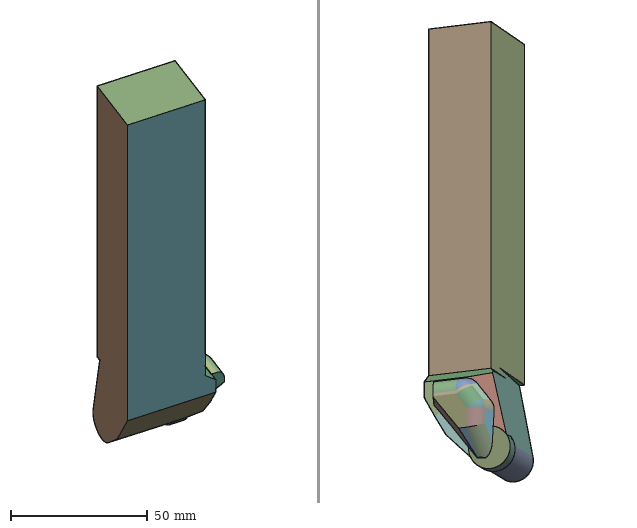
import cadquery as cq
import math

SHANK_WIDTH = 24.8
SHANK_DEPTH = 32.0
TOTAL_HEIGHT = 171.4

NOTCH_Z = 40.8
HEAD_DEPTH = 36.3
BEVEL_TOP_Z = 38.4
REAR_BEVEL_DROP = 3.6
HEAD_OVERHANG = 13.7
HEEL_TOP_Z = 28.8
HEEL_BOTTOM_X = 8.9

INSERT_DIAMETER = 16.0
INSERT_THICKNESS = 6.3
INSERT_X = 0.3
INSERT_Y = 32.7
TILT = 0.11
INSERT_Z = INSERT_DIAMETER / 2 * math.sqrt((1 + TILT**2) / (1 + 2 * TILT**2))

NOSE_RADIUS = 7.4
FLANK_ANGLE = math.radians(11.0)
LOWER_ANGLE = math.radians(45.0)
FLANK_REACH = 68.5

CLAMP_LEFT_X = -3.0
CLAMP_SHOULDER_X = 4.8
CLAMP_SHOULDER_Z = 23.6
CLAMP_RIGHT_X = 22.5
CLAMP_RIGHT_Z = 24.8
CLAMP_BACK_Z = 36.0
CLAMP_TOE_LEFT_X = -0.3
CLAMP_TOE_RIGHT_X = 5.1
CLAMP_DRAFT = 20.0
CLAMP_EDGE_RADIUS = 6.0

CLAMP_TOP_Y = 43.2
CLAMP_CREST_Z = 26.5
CLAMP_BROW_Y = 41.3
CLAMP_BROW_Z = 13.9
CLAMP_TOE_Y = 32.9
CLAMP_TOE_Z = 4.0

LEFT_EDGE_LIMIT_X = 3.5
REAR_EDGE_LIMIT_X = 15.5
PICK_MARGIN = 0.5

RAKE_PLANE = cq.Plane(
    origin=(INSERT_X, INSERT_Y, INSERT_Z),
    xDir=(1, TILT, 0),
    normal=(TILT, -1, TILT),
)


def front_prism(outline, depth):
    """Extrude an X-Z outline from Y = 0 toward +Y."""
    return cq.Workplane("XZ").polyline(outline).close().extrude(-depth)


def side_prism(outline):
    """Extrude a Y-Z outline along X, through the whole width of the head."""
    return cq.Workplane("YZ").polyline(outline).close().extrude(SHANK_WIDTH, both=True)


def make_shank():
    """Upper bar, down to the step above the flank."""
    outline = [
        (0, NOTCH_Z),
        (SHANK_WIDTH, NOTCH_Z),
        (SHANK_WIDTH, TOTAL_HEIGHT),
        (0, TOTAL_HEIGHT),
    ]
    return front_prism(outline, SHANK_DEPTH)


def make_raw_head():
    """Lower bar with a deeper block, bevelled at its left and rear top edges."""
    bar_outline = [
        (0, 0),
        (HEEL_BOTTOM_X, 0),
        (SHANK_WIDTH, HEEL_TOP_Z),
        (SHANK_WIDTH, NOTCH_Z),
        (0, NOTCH_Z),
    ]
    block_outline = [
        (-HEAD_OVERHANG, 0),
        (HEEL_BOTTOM_X, 0),
        (SHANK_WIDTH, HEEL_TOP_Z),
        (SHANK_WIDTH, BEVEL_TOP_Z),
        (0, BEVEL_TOP_Z),
        (-HEAD_OVERHANG, BEVEL_TOP_Z - HEAD_OVERHANG),
    ]
    block_side = [
        (0, 0),
        (HEAD_DEPTH, 0),
        (HEAD_DEPTH, BEVEL_TOP_Z - REAR_BEVEL_DROP),
        (SHANK_DEPTH, BEVEL_TOP_Z),
        (0, BEVEL_TOP_Z),
    ]
    bar = front_prism(bar_outline, SHANK_DEPTH)
    block = front_prism(block_outline, HEAD_DEPTH).intersect(side_prism(block_side))
    return bar.union(block)


def make_flank_envelope():
    """Tilted, round-nosed wedge under the rake plane that bounds the head."""
    left_tangent = (-NOSE_RADIUS * math.cos(FLANK_ANGLE), NOSE_RADIUS * math.sin(FLANK_ANGLE))
    right_tangent = (NOSE_RADIUS * math.sin(LOWER_ANGLE), -NOSE_RADIUS * math.cos(LOWER_ANGLE))
    left_end = (
        left_tangent[0] + FLANK_REACH * math.sin(FLANK_ANGLE),
        left_tangent[1] + FLANK_REACH * math.cos(FLANK_ANGLE),
    )
    right_end = (
        right_tangent[0] + FLANK_REACH * math.cos(LOWER_ANGLE),
        right_tangent[1] + FLANK_REACH * math.sin(LOWER_ANGLE),
    )
    return (
        cq.Workplane(RAKE_PLANE)
        .moveTo(*left_end)
        .lineTo(*left_tangent)
        .threePointArc((0, -NOSE_RADIUS), right_tangent)
        .lineTo(*right_end)
        .lineTo(right_end[0], left_end[1])
        .close()
        .extrude(FLANK_REACH)
    )


def make_clamp():
    """Drafted block with rounded left and rear edges that reaches over the insert."""
    plan = [
        (CLAMP_TOE_LEFT_X, CLAMP_TOE_Z),
        (CLAMP_TOE_RIGHT_X, CLAMP_TOE_Z),
        (CLAMP_RIGHT_X, CLAMP_RIGHT_Z),
        (CLAMP_RIGHT_X, CLAMP_BACK_Z),
        (CLAMP_SHOULDER_X, CLAMP_BACK_Z),
        (CLAMP_LEFT_X, CLAMP_SHOULDER_Z),
    ]
    profile = [
        (SHANK_DEPTH, CLAMP_BACK_Z),
        (CLAMP_TOP_Y, CLAMP_BACK_Z),
        (CLAMP_TOP_Y, CLAMP_CREST_Z),
        (CLAMP_BROW_Y, CLAMP_BROW_Z),
        (CLAMP_TOE_Y, CLAMP_TOE_Z),
        (SHANK_DEPTH, CLAMP_TOE_Z),
    ]
    block = (
        cq.Workplane("XZ", origin=(0, SHANK_DEPTH, 0))
        .polyline(plan)
        .close()
        .extrude(-(CLAMP_TOP_Y - SHANK_DEPTH), taper=CLAMP_DRAFT)
        .intersect(side_prism(profile))
    )
    left_edges = cq.selectors.BoxSelector(
        (CLAMP_LEFT_X, HEAD_DEPTH, CLAMP_TOE_Z),
        (LEFT_EDGE_LIMIT_X, CLAMP_TOP_Y + PICK_MARGIN, CLAMP_CREST_Z),
    )
    rear_edges = cq.selectors.BoxSelector(
        (CLAMP_SHOULDER_X, HEAD_DEPTH, CLAMP_CREST_Z + PICK_MARGIN),
        (REAR_EDGE_LIMIT_X, CLAMP_TOP_Y + PICK_MARGIN, CLAMP_BACK_Z),
    )
    return block.edges(left_edges + rear_edges).fillet(CLAMP_EDGE_RADIUS)


def make_insert():
    """Round insert, its top face flush with the rake plane."""
    return cq.Workplane(RAKE_PLANE).circle(INSERT_DIAMETER / 2).extrude(INSERT_THICKNESS)


def make_holder():
    """Shank, relieved head and clamp in one piece, with a pocket for the insert."""
    head = make_raw_head().intersect(make_flank_envelope())
    return make_shank().union(head).union(make_clamp()).cut(make_insert())


holder = make_holder()
insert = make_insert()

result = cq.Compound.makeCompound([holder.val(), insert.val()])